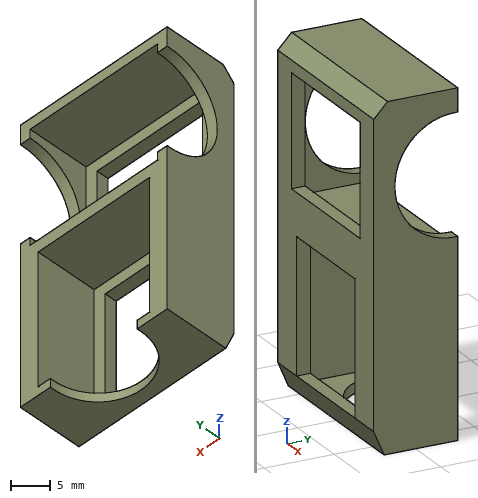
import cadquery as cq

width = 26.3
depth = 12.0
height = 48.25
top_chamfer_depth = 2.0
top_chamfer_height = 2.07
bottom_chamfer_depth = 1.5
bottom_chamfer_height = 3.45

plate_thickness = 2.0
lip = 2.0
upper_window_width = 18.8
upper_window_bottom = 28.55
upper_window_top = 44.45
lower_window_width = 15.9
lower_window_bottom = 3.45
lower_window_top = 22.55

cradle_radius = 8.5
cradle_center_y = depth - 0.5
cradle_center_z = 36.45

notch_radius = 7.75
notch_center_y = depth - 0.7


def box_between(box_width, y_start, y_end, z_start, z_end):
    """Box centred on X = 0 with the given Y and Z limits."""
    size_y = y_end - y_start
    size_z = z_end - z_start
    box = cq.Workplane("XY").box(box_width, size_y, size_z, centered=(True, False, False))
    return box.translate((0, y_start, z_start))


def window_with_cavity(window_width, bottom, top):
    """Window through the plate plus the cavity that leaves a lip around it."""
    window = box_between(window_width, 0, depth, bottom, top)
    cavity = box_between(window_width + 2 * lip, plate_thickness, depth, bottom - lip, top + lip)
    return window.union(cavity)


body = (
    cq.Workplane("YZ")
    .moveTo(bottom_chamfer_depth, 0)
    .lineTo(depth, 0)
    .lineTo(depth, height)
    .lineTo(top_chamfer_depth, height)
    .lineTo(0, height - top_chamfer_height)
    .lineTo(0, bottom_chamfer_height)
    .close()
    .extrude(width / 2, both=True)
)

cradle = (
    cq.Workplane("YZ")
    .center(cradle_center_y, cradle_center_z)
    .circle(cradle_radius)
    .extrude(width / 2, both=True)
)
cradle_mouth = box_between(
    width, cradle_center_y, depth, cradle_center_z - cradle_radius, cradle_center_z + cradle_radius
)

notch = cq.Workplane("XY").center(0, notch_center_y).circle(notch_radius).extrude(lower_window_bottom)
notch_mouth = box_between(2 * notch_radius, notch_center_y, depth, 0, lower_window_bottom)

result = (
    body
    .cut(window_with_cavity(upper_window_width, upper_window_bottom, upper_window_top))
    .cut(window_with_cavity(lower_window_width, lower_window_bottom, lower_window_top))
    .cut(cradle.union(cradle_mouth))
    .cut(notch.union(notch_mouth))
)